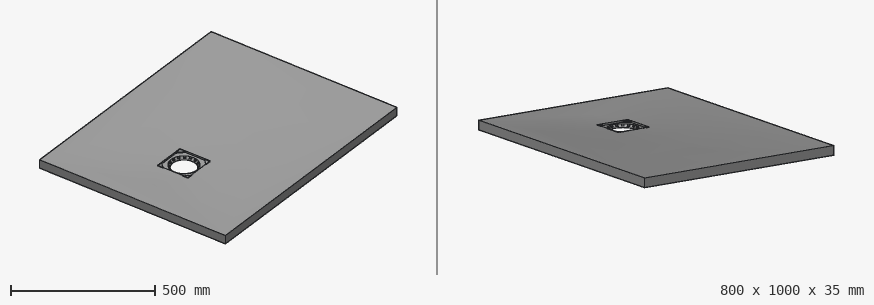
import cadquery as cq

width = 800.0
length = 1000.0
thickness = 35.0
grid_steps = 12

drain_y = -200.0
recess_side = 130.0
rim_z = 18.0
floor_z = 12.0
pad_leg = 24.0
pad_height = 4.0

hole_diameter = 95.0
funnel_diameter = 111.0
funnel_base_z = 1.0
slot_count = 16
slot_width = 8.0
slot_base_z = 5.0


def at_drain(z):
    return cq.Workplane("XY", origin=(0, drain_y, z))


def dish_height(x, y):
    """Height of the top: level along all four outer edges, falling smoothly to the drain."""
    drain_fraction = drain_y / length + 0.5
    skew = drain_fraction / (1 - drain_fraction)
    y_fraction = y / length + 0.5
    y_warped = y_fraction / (y_fraction + skew * (1 - y_fraction))
    across = 1 - (2 * x / width) ** 2
    along = 4 * y_warped * (1 - y_warped)
    return thickness - (thickness - rim_z) * across * along


def dished_tray():
    """Slab of material below the smooth dished surface."""
    grid = []
    for i in range(grid_steps + 1):
        x = width * (i / grid_steps - 0.5)
        row = []
        for j in range(grid_steps + 1):
            y = length * (j / grid_steps - 0.5)
            row.append(cq.Vector(x, y, dish_height(x, y)))
        grid.append(row)
    top_face = cq.Face.makeSplineApprox(grid, tol=1e-4, minDeg=3, maxDeg=6)
    prism = cq.Solid.extrudeLinear(top_face, cq.Vector(0, 0, -2 * thickness))
    above_base = cq.Workplane("XY").box(
        2 * width, 2 * length, 2 * thickness, centered=(True, True, False)
    )
    return above_base.intersect(cq.Workplane(prism))


def drain_recess():
    return at_drain(floor_z).rect(recess_side, recess_side).extrude(thickness)


def corner_pads():
    """Low triangular pads in the four corners of the recess."""
    half = recess_side / 2
    inner = half - pad_leg
    corner = [(half, half), (inner, half), (half, inner)]
    pad = at_drain(floor_z).polyline(corner).close().extrude(pad_height)
    pads = cq.Workplane("XY")
    for quarter in range(4):
        pads = pads.add(pad.rotate((0, drain_y, 0), (0, drain_y, 1), 90 * quarter))
    return pads.combine()


def throat_slots():
    """Radial slots sunk into the funnel wall, with an upright outer end."""
    half_pitch = 180 / slot_count
    bars = (
        at_drain(slot_base_z)
        .polarArray(funnel_diameter / 4, half_pitch, 360, slot_count)
        .rect(funnel_diameter / 2 + slot_width, slot_width)
        .extrude(floor_z - slot_base_z)
    )
    limit = at_drain(slot_base_z).circle(funnel_diameter / 2).extrude(floor_z - slot_base_z)
    return bars.intersect(limit)


def throat_opening():
    """Funnel narrowing down to the through hole, with slots in its wall."""
    funnel = (
        at_drain(funnel_base_z)
        .circle(hole_diameter / 2)
        .workplane(offset=floor_z - funnel_base_z)
        .circle(funnel_diameter / 2)
        .loft()
    )
    hole = at_drain(0).circle(hole_diameter / 2).extrude(thickness)
    return funnel.union(hole).union(throat_slots())


tray = dished_tray().cut(drain_recess()).union(corner_pads()).cut(throat_opening())
result = tray.solids()